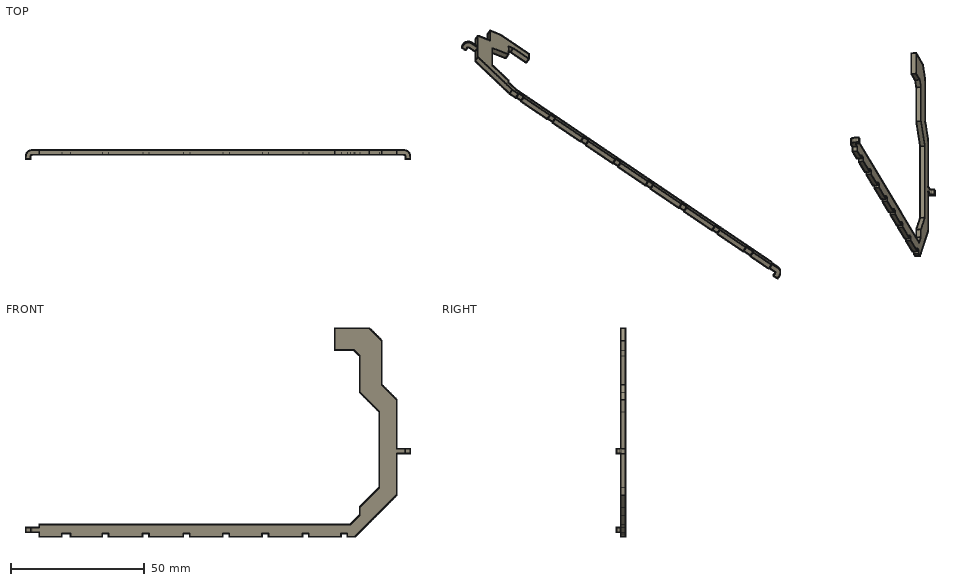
import cadquery as cq

length = 144.4
height = 78.4
depth = 3.5

thickness = 1.9
inner_bend_radius = 0.5
outer_bend_radius = inner_bend_radius + thickness

tab_length = 5.0
tab_height = 1.9
left_tab_bottom = 1.7
right_tab_bottom = 31.3

rail_height = 4.8
rail_left = tab_length
rail_inner_end = 121.9
rail_outer_end = 123.6

arm_right = length - tab_length
arm_left = 132.7
arm_inner_bottom = 18.6
arm_inner_top = 47.1
arm_outer_top = 51.5
arm_outer_bottom = arm_right - rail_outer_end

neck_left = 125.3
neck_right = 133.7
hook_left = 116.0
hook_bottom = 70.2
hook_outer_chamfer = 4.6
hook_inner_chamfer = 2.2
neck_outer_bottom = arm_outer_top + arm_right - neck_right
neck_inner_bottom = arm_inner_top + arm_left - neck_left

step_bottom = rail_height + neck_left - rail_inner_end
step_top = arm_inner_bottom - (arm_left - neck_left)

notch_depth = 1.3
notch_width = 2.3
first_notch_width = 3.2
first_notch_center = 15.2
notch_centers = [29.9, 45.0, 60.4, 75.2, 90.0, 105.1, 119.5]


def make_frame():
    """Flat hook-shaped strip in the XZ plane."""
    outline = [
        (rail_left, 0),
        (rail_outer_end, 0),
        (arm_right, arm_outer_bottom),
        (arm_right, arm_outer_top),
        (neck_right, neck_outer_bottom),
        (neck_right, height - hook_outer_chamfer),
        (neck_right - hook_outer_chamfer, height),
        (hook_left, height),
        (hook_left, hook_bottom),
        (neck_left - hook_inner_chamfer, hook_bottom),
        (neck_left, hook_bottom - hook_inner_chamfer),
        (neck_left, neck_inner_bottom),
        (arm_left, arm_inner_top),
        (arm_left, arm_inner_bottom),
        (neck_left, step_top),
        (neck_left, step_bottom),
        (rail_inner_end, rail_height),
        (rail_left, rail_height),
    ]
    return cq.Workplane("XZ").polyline(outline).close().extrude(thickness)


def make_notch(center, width):
    """Cutter for one rectangular notch, open at the rail's underside."""
    cutter = cq.Workplane("XY").box(width, 2 * thickness, 2 * notch_depth)
    return cutter.translate((center, -thickness / 2, 0))


def make_left_tab(bottom):
    """Tab at X = 0, bent a quarter turn toward -Y."""
    return (
        cq.Workplane("XY", origin=(0, 0, bottom))
        .moveTo(tab_length, 0)
        .lineTo(outer_bend_radius, 0)
        .radiusArc((0, -outer_bend_radius), -outer_bend_radius)
        .lineTo(0, -depth)
        .lineTo(thickness, -depth)
        .lineTo(thickness, -outer_bend_radius)
        .radiusArc((outer_bend_radius, -thickness), inner_bend_radius)
        .lineTo(tab_length, -thickness)
        .close()
        .extrude(tab_height)
    )


left_tab = make_left_tab(left_tab_bottom)
right_tab = make_left_tab(right_tab_bottom).mirror("YZ").translate((length, 0, 0))
result = make_frame().union(left_tab).union(right_tab)

result = result.cut(make_notch(first_notch_center, first_notch_width))
for notch_center in notch_centers:
    result = result.cut(make_notch(notch_center, notch_width))